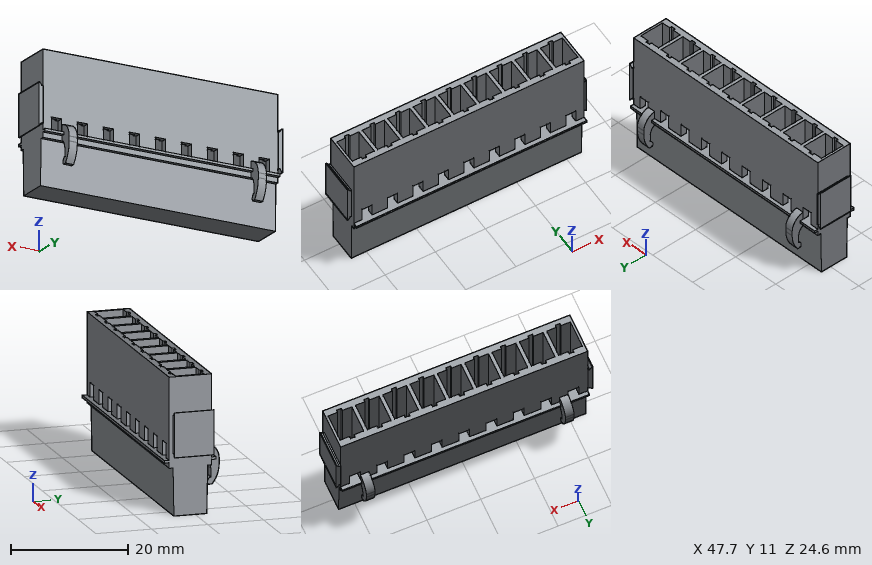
import cadquery as cq

overall_length = 47.72
overall_depth = 11.0
overall_height = 24.55

housing_length = 45.96
housing_depth = 7.6
foot_height = 8.5
foot_top_depth = 6.2
foot_bottom_depth = 5.9

rib_top = 9.92
rib_thickness = 0.46
front_rib_reach = 0.86
back_rib_reach = 0.73

pole_count = 9
pole_pitch = 5.08
cavity_length = 4.4
cavity_depth = 5.06
key_groove_length = 0.84
key_groove_reach = 0.44
window_length = 2.0
window_top = 12.5

pad_front = -3.1
pad_back = 3.95
pad_bottom = 10.48
pad_top = 18.4
pad_rim = 0.15
pad_neck = 0.28
pad_bevel_height = 0.6

latch_offset = 18.5
latch_width = 1.6
latch_top = 11.46

half_housing = housing_length / 2
housing_back = housing_depth / 2
housing_front = -housing_back
rib_front = housing_front - front_rib_reach
rib_back = housing_back + back_rib_reach
latch_reach = rib_front + overall_depth
pad_thickness = (overall_length - housing_length) / 2
pole_positions = [(i - (pole_count - 1) / 2) * pole_pitch for i in range(pole_count)]


def block(x_size, y_range, z_range, x_center=0):
    """Box centred on x_center that spans the given Y and Z ranges."""
    y_low, y_high = y_range
    z_low, z_high = z_range
    box = cq.Workplane("XY").box(x_size, y_high - y_low, z_high - z_low, centered=(True, False, False))
    return box.translate((x_center, y_low, z_low))


def make_housing():
    """Upper body, tapered foot and the two long ribs."""
    foot = (
        cq.Workplane("YZ")
        .polyline([
            (-foot_bottom_depth / 2, 0),
            (foot_bottom_depth / 2, 0),
            (foot_top_depth / 2, foot_height),
            (-foot_top_depth / 2, foot_height),
        ])
        .close()
        .extrude(half_housing, both=True)
    )
    body = block(housing_length, (housing_front, housing_back), (foot_height, overall_height))
    ribs = block(housing_length, (rib_front, rib_back), (rib_top - rib_thickness, rib_top))
    return foot.union(body).union(ribs)


def make_pole_cutter(x):
    """Keyed cavity open at the top, with a window through both long walls at its floor."""
    half_cavity = cavity_depth / 2
    half_keyed = half_cavity + key_groove_reach
    cavity_heights = (rib_top, overall_height)
    cavity = block(cavity_length, (-half_cavity, half_cavity), cavity_heights, x)
    key_grooves = block(key_groove_length, (-half_keyed, half_keyed), cavity_heights, x)
    windows = block(window_length, (rib_front, rib_back), (rib_top, window_top), x)
    return cavity.union(key_grooves).union(windows)


def make_right_pad():
    """End pad: a neck that widens up and down to a thin rim at its outer face."""
    neck_x = half_housing + pad_neck
    rim_x = half_housing + pad_thickness - pad_rim
    outer_x = half_housing + pad_thickness
    neck_bottom = pad_bottom + pad_bevel_height
    neck_top = pad_top - pad_bevel_height
    profile = cq.Workplane("XZ", origin=(0, pad_back, 0)).polyline([
        (half_housing, neck_bottom),
        (neck_x, neck_bottom),
        (rim_x, pad_bottom),
        (outer_x, pad_bottom),
        (outer_x, pad_top),
        (rim_x, pad_top),
        (neck_x, neck_top),
        (half_housing, neck_top),
    ])
    return profile.close().extrude(pad_back - pad_front)


def make_latch(x):
    """Curved hook that leaves the back wall, turns down and ends in an inward lip."""
    crown_middle = (5.77, 10.3)
    spine_top = (latch_reach, 8.6)
    spine_bottom = (latch_reach, 7.7)
    tip_outer = (5.05, 4.1)
    tip_inner = (4.35, 4.1)
    lip_middle = (4.25, 4.75)
    throat_bottom = (4.82, 5.4)
    throat_top = (4.82, 6.9)
    throat_bend = (4.5, 7.9)
    return (
        cq.Workplane("YZ", origin=(x - latch_width / 2, 0, 0))
        .moveTo(housing_back, latch_top)
        .threePointArc(crown_middle, spine_top)
        .lineTo(*spine_bottom)
        .tangentArcPoint(tip_outer, relative=False)
        .lineTo(*tip_inner)
        .threePointArc(lip_middle, throat_bottom)
        .lineTo(*throat_top)
        .threePointArc(throat_bend, (housing_back, foot_height))
        .close()
        .extrude(latch_width)
    )


result = make_housing()
for pole_x in pole_positions:
    result = result.cut(make_pole_cutter(pole_x))

right_pad = make_right_pad()
result = result.union(right_pad).union(right_pad.mirror("YZ"))

for latch_x in (-latch_offset, latch_offset):
    result = result.union(make_latch(latch_x))